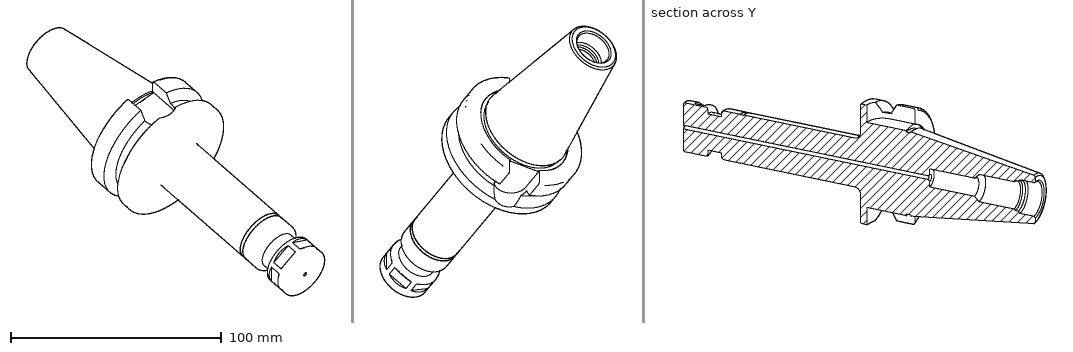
import cadquery as cq
import math


taper_length = 65.5
taper_large_radius = 22.2
taper_ratio = 7 / 24
taper_small_radius = taper_large_radius - taper_length * taper_ratio / 2
taper_chamfer_length = 0.7
taper_chamfer_height = 1.0

neck_radius = 21.7
relief_radius = 23.7
relief_depth = 0.7

flange_start = 67.3
flange_end = 92.3
flange_radius = 31.5
flange_fillet = 1.1
groove_center = 82.0
groove_floor_width = 4.0
groove_floor_radius = 26.5
groove_slope = math.radians(30)
groove_wall_run = (flange_radius - groove_floor_radius) * math.tan(groove_slope)

slot_width = 16.1
slot_end = 88.6
slot_floor_height = 22.5

body_radius = 13.0
body_end = 165.5
root_fillet = 3.0
body_fillet = 2.0
band_start = 153.5
band_end = 155.4
band_depth = 0.2
throat_radius = 9.6

nut_start = 172.5
total_length = 185.4
nut_radius = 13.0
nut_fillet = 1.0
flat_count = 6
flat_start = 174.8
flat_width = 5.2
flat_distance = 11.9
flat_draft = 25

mouth_radius = 9.5
counterbore_radius = 8.7
counterbore_depth = 8.2
collar_radius = 7.8
collar_depth = 10.5
thread_radius = 7.0
thread_depth = 29.7
bore_radius = 4.6
bore_depth = 55.6
pilot_mouth_radius = 1.76
pilot_radius = 0.85


def revolve_about_x(profile):
    return profile.close().revolve(360, (0, 0, 0), (1, 0, 0))


def turned_body():
    chamfer_radius = taper_small_radius + taper_chamfer_length * taper_ratio / 2
    groove_left = groove_center - groove_floor_width / 2
    groove_right = groove_center + groove_floor_width / 2
    profile = (
        cq.Workplane("XZ")
        .moveTo(0, 0)
        .lineTo(0, taper_small_radius - taper_chamfer_height)
        .lineTo(taper_chamfer_length, chamfer_radius)
        .lineTo(taper_length, taper_large_radius)
        .lineTo(taper_length + taper_large_radius - neck_radius, neck_radius)
        .lineTo(flange_start + relief_depth, neck_radius)
        .lineTo(flange_start + relief_depth, relief_radius)
        .lineTo(flange_start, relief_radius)
        .lineTo(flange_start, flange_radius - flange_fillet)
        .radiusArc((flange_start + flange_fillet, flange_radius), flange_fillet)
        .lineTo(groove_left - groove_wall_run, flange_radius)
        .lineTo(groove_left, groove_floor_radius)
        .lineTo(groove_right, groove_floor_radius)
        .lineTo(groove_right + groove_wall_run, flange_radius)
        .lineTo(flange_end - flange_fillet, flange_radius)
        .radiusArc((flange_end, flange_radius - flange_fillet), flange_fillet)
        .lineTo(flange_end, body_radius + root_fillet)
        .radiusArc((flange_end + root_fillet, body_radius), -root_fillet)
        .lineTo(band_start, body_radius)
        .lineTo(band_start, body_radius - band_depth)
        .lineTo(band_end, body_radius - band_depth)
        .lineTo(band_end, body_radius)
        .lineTo(body_end - body_fillet, body_radius)
        .radiusArc((body_end, body_radius - body_fillet), body_fillet)
        .lineTo(body_end, throat_radius)
        .lineTo(nut_start, throat_radius)
        .lineTo(nut_start, nut_radius - nut_fillet)
        .radiusArc((nut_start + nut_fillet, nut_radius), nut_fillet)
        .lineTo(total_length - nut_fillet, nut_radius)
        .radiusArc((total_length, nut_radius - nut_fillet), nut_fillet)
        .lineTo(total_length, 0)
    )
    return revolve_about_x(profile)


def stepped_bore():
    profile = (
        cq.Workplane("XZ")
        .moveTo(0, 0)
        .lineTo(0, mouth_radius)
        .lineTo(mouth_radius - counterbore_radius, counterbore_radius)
        .lineTo(counterbore_depth, counterbore_radius)
        .lineTo(counterbore_depth + counterbore_radius - collar_radius, collar_radius)
        .lineTo(collar_depth, collar_radius)
        .lineTo(collar_depth + collar_radius - thread_radius, thread_radius)
        .lineTo(thread_depth, thread_radius)
        .lineTo(thread_depth + thread_radius - bore_radius, bore_radius)
        .lineTo(bore_depth, bore_radius)
        .lineTo(bore_depth, pilot_mouth_radius)
        .lineTo(bore_depth + pilot_mouth_radius - pilot_radius, pilot_radius)
        .lineTo(total_length, pilot_radius)
        .lineTo(total_length, 0)
    )
    return revolve_about_x(profile)


def drive_slot():
    half_width = slot_width / 2
    return (
        cq.Workplane("XY", origin=(0, 0, slot_floor_height))
        .moveTo(taper_length, -half_width)
        .lineTo(slot_end - half_width, -half_width)
        .threePointArc((slot_end, 0), (slot_end - half_width, half_width))
        .lineTo(taper_length, half_width)
        .close()
        .extrude(flange_radius)
    )


def nut_flat():
    center = flat_start + flat_width / 2
    return (
        cq.Workplane("XY", origin=(center, 0, flat_distance))
        .rect(flat_width, 2 * nut_radius)
        .extrude(nut_radius - flat_distance, taper=-flat_draft)
    )


axis_start = (0, 0, 0)
axis_end = (1, 0, 0)

result = turned_body().cut(stepped_bore())

for angle in (0, 180):
    result = result.cut(drive_slot().rotate(axis_start, axis_end, angle))

for index in range(flat_count):
    angle = 90 + index * 360 / flat_count
    result = result.cut(nut_flat().rotate(axis_start, axis_end, angle))